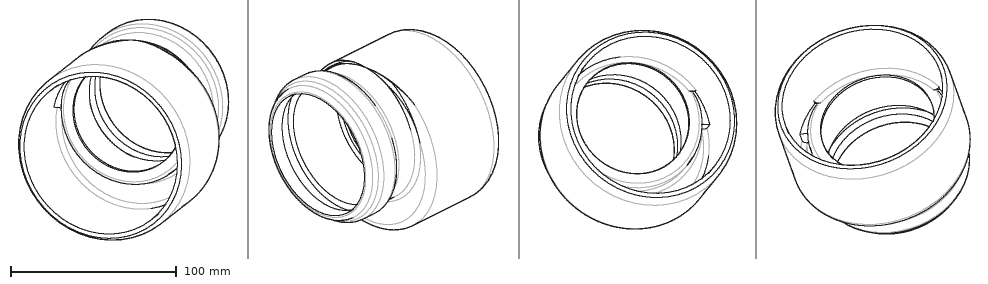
import cadquery as cq

SPIGOT_DIAMETER = 110.0
SPIGOT_BORE = 99.0
SHOULDER_Y = 61.0
SHOULDER_WALL = 4.0
SHOULDER_ROUND = 5.0
SHOULDER_FADE_HALF_WIDTH = 36.0
LEAD_IN_LENGTH = 7.0
LEAD_IN_DEPTH = 2.8
FLOOR_FILLET = 2.8

TOTAL_LENGTH = 102.6
NECK_DIAMETER = 87.0
NECK_FILLET = 2.5
FLARE_FADE_HALF_WIDTH = 40.0
LIP_ROUND = 3.0
SOCKET_BORE = 78.4
MOUTH_BORE = 78.7
THROUGH_BORE = 70.0

BEAD_DIAMETER = 94.0
BEAD_START_Y = 77.1
BEAD_FLAT_START_Y = 84.0
BEAD_FLAT_END_Y = 93.6
BEAD_FRONT_BLEND_SPLIT = 0.57
BEAD_REAR_BLEND_SPLIT = 0.5
GROOVE_DIAMETER = 87.6

STOP_FACE_Y = 45.0
STOP_WALL = 2.0
STOP_DIAMETER = 86.6
STOP_EDGE_ROUND = 2.2
STOP_ROOT_FILLET = 2.5
RAMP_DEPTH = 2.2
RAMP_TOP_Z = 31.1
JOINT_OVERLAP = 2.0

FLARE_SHARE = NECK_FILLET / (NECK_FILLET + SHOULDER_ROUND)
SPIGOT_RADIUS = SPIGOT_DIAMETER / 2
SPIGOT_BORE_RADIUS = SPIGOT_BORE / 2
NECK_RADIUS = NECK_DIAMETER / 2
BEAD_RADIUS = BEAD_DIAMETER / 2
STOP_RADIUS = STOP_DIAMETER / 2
ROUND_START_Y = SHOULDER_Y - SHOULDER_ROUND
SOCKET_OFFSET = SPIGOT_RADIUS - NECK_RADIUS
FLOOR_Y = SHOULDER_Y - SHOULDER_WALL
LIP_START_Y = TOTAL_LENGTH - LIP_ROUND


def revolve(profile, axis_z):
    """Turn a closed (radius, Y) profile about the Y direction at height axis_z."""
    turned = profile.close().revolve(360, (0, 0, 0), (0, 1, 0))
    return turned.translate((0, 0, axis_z))


def profile_from(y):
    """Start a (radius, Y) profile on the axis at the given Y."""
    return cq.Workplane("XY").moveTo(0, y)


def cylinder(radius, start_y, end_y, axis_z):
    profile = profile_from(start_y).lineTo(radius, start_y).lineTo(radius, end_y).lineTo(0, end_y)
    return revolve(profile, axis_z)


def between(start, end, fraction):
    return start + (end - start) * fraction


def fade_wedge(base_y, base_half_width):
    """Wedge above the axes: its tip lies on the line where neck and spigot touch."""
    outline = [(-base_half_width, base_y), (0, SHOULDER_Y), (base_half_width, base_y)]
    return cq.Workplane("XY").polyline(outline).close().extrude(SPIGOT_DIAMETER)


def shoulder_wedge():
    return fade_wedge(ROUND_START_Y, SHOULDER_FADE_HALF_WIDTH)


def spigot_outside():
    """Large cylinder with a curved lead-in at its mouth and a rounded shoulder.

    The shoulder round fades out towards the line where the neck touches the spigot.
    """
    profile = (
        profile_from(SHOULDER_Y)
        .lineTo(SPIGOT_RADIUS - SHOULDER_ROUND, SHOULDER_Y)
        .tangentArcPoint((SPIGOT_RADIUS, ROUND_START_Y), relative=False)
        .lineTo(SPIGOT_RADIUS, LEAD_IN_LENGTH)
        .tangentArcPoint((SPIGOT_RADIUS - LEAD_IN_DEPTH, 0), relative=False)
        .lineTo(0, 0)
    )
    unrounded = cylinder(SPIGOT_RADIUS, LEAD_IN_LENGTH, SHOULDER_Y, 0)
    return revolve(profile, 0).union(unrounded.intersect(shoulder_wedge()))


def socket_outside():
    """Neck, S-shaped bead and rounded lip of the small socket."""
    front_blend = (
        between(NECK_RADIUS, BEAD_RADIUS, BEAD_FRONT_BLEND_SPLIT),
        between(BEAD_START_Y, BEAD_FLAT_START_Y, BEAD_FRONT_BLEND_SPLIT),
    )
    rear_blend = (
        between(BEAD_RADIUS, NECK_RADIUS, BEAD_REAR_BLEND_SPLIT),
        between(BEAD_FLAT_END_Y, LIP_START_Y, BEAD_REAR_BLEND_SPLIT),
    )
    profile = (
        profile_from(ROUND_START_Y)
        .lineTo(NECK_RADIUS, ROUND_START_Y)
        .lineTo(NECK_RADIUS, BEAD_START_Y)
        .tangentArcPoint(front_blend, relative=False)
        .tangentArcPoint((BEAD_RADIUS, BEAD_FLAT_START_Y), relative=False)
        .lineTo(BEAD_RADIUS, BEAD_FLAT_END_Y)
        .tangentArcPoint(rear_blend, relative=False)
        .tangentArcPoint((NECK_RADIUS, LIP_START_Y), relative=False)
        .tangentArcPoint((NECK_RADIUS - LIP_ROUND, TOTAL_LENGTH), relative=False)
        .lineTo(0, TOTAL_LENGTH)
    )
    return revolve(profile, SOCKET_OFFSET)


def neck_flare():
    """Concave fillet between neck and shoulder, fading out towards the touching line.

    An eccentric cylinder touching neck and spigot on the same line limits its width.
    """
    flare_end_y = SHOULDER_Y + NECK_FILLET
    profile = (
        cq.Workplane("XY")
        .moveTo(NECK_RADIUS, flare_end_y)
        .radiusArc((NECK_RADIUS + NECK_FILLET, SHOULDER_Y), -NECK_FILLET)
        .lineTo(SPIGOT_RADIUS, SHOULDER_Y)
        .lineTo(SPIGOT_RADIUS, ROUND_START_Y)
        .lineTo(0, ROUND_START_Y)
        .lineTo(0, flare_end_y)
    )
    fade = fade_wedge(flare_end_y, FLARE_FADE_HALF_WIDTH)
    limit_radius = between(NECK_RADIUS, SPIGOT_RADIUS, FLARE_SHARE)
    limit = cylinder(limit_radius, ROUND_START_Y, flare_end_y, SPIGOT_RADIUS - limit_radius)
    return revolve(profile, SOCKET_OFFSET).intersect(limit).cut(fade).cut(shoulder_wedge())


def socket_stop():
    """Socket end inside the spigot: rounded front edge, filleted into the floor."""
    profile = (
        profile_from(STOP_FACE_Y)
        .lineTo(STOP_RADIUS - STOP_EDGE_ROUND, STOP_FACE_Y)
        .tangentArcPoint((STOP_RADIUS, STOP_FACE_Y + STOP_EDGE_ROUND), relative=False)
        .lineTo(STOP_RADIUS, FLOOR_Y - STOP_ROOT_FILLET)
        .tangentArcPoint((STOP_RADIUS + STOP_ROOT_FILLET, FLOOR_Y), relative=False)
        .lineTo(0, FLOOR_Y)
    )
    return revolve(profile, SOCKET_OFFSET)


def filleted_bore(end_y):
    """Spigot bore down to end_y, with a fillet around its end face."""
    profile = (
        profile_from(0)
        .lineTo(SPIGOT_BORE_RADIUS, 0)
        .lineTo(SPIGOT_BORE_RADIUS, end_y - FLOOR_FILLET)
        .tangentArcPoint((SPIGOT_BORE_RADIUS - FLOOR_FILLET, end_y), relative=False)
        .lineTo(0, end_y)
    )
    return revolve(profile, 0)


def gap_reach():
    """Space the gap around the stop may take: full depth low down, a shallow ramp above."""
    outline = [
        (0, -SPIGOT_RADIUS),
        (FLOOR_Y, -SPIGOT_RADIUS),
        (FLOOR_Y, SOCKET_OFFSET),
        (STOP_FACE_Y + RAMP_DEPTH, SOCKET_OFFSET),
        (STOP_FACE_Y, RAMP_TOP_Z),
        (0, RAMP_TOP_Z),
    ]
    return cq.Workplane("YZ").polyline(outline).close().extrude(SPIGOT_RADIUS, both=True)


def joint_slab():
    """Disc, slightly wider than the spigot bore, that holds the stop and its joint."""
    start_y = STOP_FACE_Y - FLOOR_FILLET
    return cylinder(SPIGOT_BORE_RADIUS + JOINT_OVERLAP, start_y, FLOOR_Y, 0)


def stop_joint():
    """Solid above the gap that joins the socket stop to the spigot wall."""
    return joint_slab().cut(gap_reach()).cut(filleted_bore(STOP_FACE_Y))


def socket_cavity():
    """Through bore, socket bore, seal groove and slightly wider mouth."""
    bore_start_y = STOP_FACE_Y + STOP_WALL
    through = cylinder(THROUGH_BORE / 2, STOP_FACE_Y, bore_start_y, SOCKET_OFFSET)
    bore = cylinder(SOCKET_BORE / 2, bore_start_y, BEAD_FLAT_START_Y, SOCKET_OFFSET)
    groove = cylinder(GROOVE_DIAMETER / 2, BEAD_FLAT_START_Y, BEAD_FLAT_END_Y, SOCKET_OFFSET)
    mouth = cylinder(MOUTH_BORE / 2, BEAD_FLAT_END_Y, TOTAL_LENGTH, SOCKET_OFFSET)
    return through.union(bore).union(groove).union(mouth)


socket = socket_outside().cut(shoulder_wedge())
outside = spigot_outside().union(socket).union(neck_flare())
hollowed = outside.cut(filleted_bore(FLOOR_Y))
stop_within_spigot = socket_stop().intersect(joint_slab())
with_stop = hollowed.union(stop_within_spigot).union(stop_joint())
result = with_stop.cut(socket_cavity())